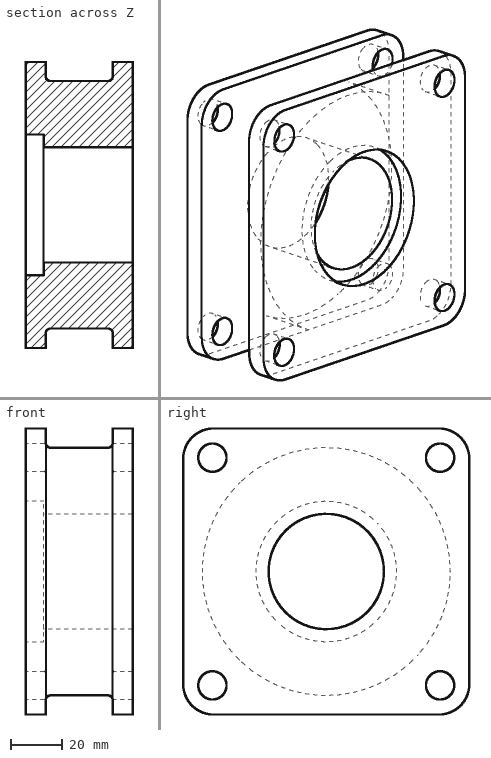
import cadquery as cq

length = 42.0
flange_side = 112.0

flange_thickness = 8.0
corner_radius = 12.0
bolt_hole_diameter = 11.0
bolt_spacing = 89.0

hub_diameter = 97.0
hub_fillet = 1.8

bore_diameter = 45.0
recess_diameter = 55.0
recess_depth = 7.0


def cylinder_along_x(diameter, start, depth):
    return cq.Workplane("YZ", origin=(start, 0, 0)).circle(diameter / 2).extrude(depth)


def flange(start):
    """Rounded square plate with four bolt holes, growing toward +X from start."""
    plate = (
        cq.Workplane("YZ", origin=(start, 0, 0))
        .rect(flange_side, flange_side)
        .extrude(flange_thickness)
        .edges("|X")
        .fillet(corner_radius)
    )
    holes = (
        cq.Workplane("YZ", origin=(start, 0, 0))
        .rect(bolt_spacing, bolt_spacing, forConstruction=True)
        .vertices()
        .circle(bolt_hole_diameter / 2)
        .extrude(flange_thickness)
    )
    return plate.cut(holes)


left_face = -length / 2
hub_start = left_face + flange_thickness
hub_length = length - 2 * flange_thickness

body = cylinder_along_x(hub_diameter, hub_start, hub_length)
for flange_start in (left_face, hub_start + hub_length):
    body = body.union(flange(flange_start))

hub_edges = cq.selectors.RadiusNthSelector(-1)
body = body.edges("%CIRCLE").edges(hub_edges).fillet(hub_fillet)

bore = cylinder_along_x(bore_diameter, left_face, length)
recess = cylinder_along_x(recess_diameter, left_face, recess_depth)
result = body.cut(bore).cut(recess)